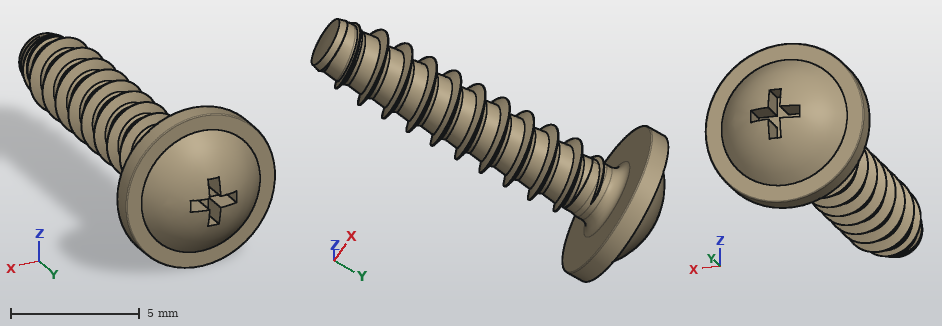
import cadquery as cq
import math


flange_radius = 3.25
flange_thickness = 0.81
flange_edge_radius = 0.04
dome_radius_at_flange = 2.58
head_height = 2.08
recess_span = 2.0
recess_slot_width = 0.48
recess_depth = 1.1

shank_length = 12.99
neck_radius = 1.17
neck_length = 0.74
neck_fillet = 0.5
core_radius = 1.12
core_start = 0.95
tip_radius = 1.02
tip_taper_length = 0.35
tip_cone_height = 0.035
tip_edge_y = tip_cone_height - shank_length

pitch = 1.12
crest_radius = 1.51
thread_root_radius = 0.85
crest_half_width = 0.02
flank_slope = 0.41
thread_phase_y = -1.24
thread_top_y = -neck_length + pitch / 4
thread_bottom_y = -shank_length + pitch / 8
fade_in_length = 1.7
fade_in_drop = 0.29
fade_out_length = 1.6
fade_out_drop = 0.47

relief_radius = 1.045
relief_foot_gap = 0.17
relief_start = 1.35
relief_low_point = 0.36
relief_outer_radius = 1.14

points_per_turn = 24


def head():
    """Flange with a spherical dome on top."""
    dome_height = head_height - flange_thickness
    sphere_radius = (dome_radius_at_flange**2 + dome_height**2) / (2 * dome_height)
    dome_mid_radius = dome_radius_at_flange / 2
    dome_mid_y = head_height - sphere_radius + math.sqrt(sphere_radius**2 - dome_mid_radius**2)
    flange = cq.Workplane("XZ").circle(flange_radius).extrude(-flange_thickness)
    flange = flange.edges().fillet(flange_edge_radius)
    dome = (
        cq.Workplane("XY")
        .lineTo(0, head_height)
        .threePointArc((dome_mid_radius, dome_mid_y), (dome_radius_at_flange, flange_thickness))
        .lineTo(dome_radius_at_flange, 0)
        .close()
        .revolve(360, (0, 0, 0), (0, 1, 0))
    )
    return flange.union(dome)


def cross_recess():
    """Two crossing slots sunk into the top of the dome."""
    middle_y = head_height - recess_depth / 2
    along_x = cq.Workplane("XY").box(recess_span, recess_depth, recess_slot_width)
    along_z = cq.Workplane("XY").box(recess_slot_width, recess_depth, recess_span)
    return along_x.union(along_z).translate((0, middle_y, 0))


def shank():
    """Neck with its fillet under the flange, straight core and shallow conical tip."""
    fillet_sag = neck_fillet * (1 - math.sqrt(0.5))
    overlap = flange_thickness / 2
    return (
        cq.Workplane("XY")
        .moveTo(0, overlap)
        .lineTo(neck_radius + neck_fillet, overlap)
        .lineTo(neck_radius + neck_fillet, 0)
        .threePointArc((neck_radius + fillet_sag, -fillet_sag), (neck_radius, -neck_fillet))
        .lineTo(neck_radius, -neck_length)
        .lineTo(core_radius, -core_start)
        .lineTo(core_radius, tip_edge_y + tip_taper_length)
        .lineTo(tip_radius, tip_edge_y)
        .lineTo(0, -shank_length)
        .close()
        .revolve(360, (0, 0, 0), (0, 1, 0))
    )


def helical_solid(section, y_start, y_end, drop):
    """Solid that winds the (radius, axial offset) section around the Y axis.

    drop(y) is the distance by which the section sinks towards the axis at height y.
    """
    count = math.ceil((y_end - y_start) / pitch * points_per_turn)

    def corner_edge(radius, offset):
        points = []
        for i in range(count + 1):
            y = y_start + (y_end - y_start) * i / count
            angle = 2 * math.pi * (y - thread_phase_y) / pitch
            r = radius - drop(y)
            points.append(cq.Vector(r * math.sin(angle), y + offset, r * math.cos(angle)))
        return cq.Edge.makeSpline(points)

    edges = [corner_edge(radius, offset) for radius, offset in section]
    next_edges = edges[1:] + edges[:1]
    faces = [cq.Face.makeRuledSurface(a, b) for a, b in zip(edges, next_edges)]
    for end in (0, 1):
        corners = [edge.positionAt(end) for edge in edges]
        faces.append(cq.Face.makeFromWires(cq.Wire.makePolygon(corners, close=True)))
    return cq.Workplane(cq.Solid.makeSolid(cq.Shell.makeShell(faces)).fix())


def band(y_top, y_bottom):
    """Cylinder wide enough to trim helical bodies to an axial range."""
    disc = cq.Workplane("XZ", origin=(0, y_top, 0)).circle(flange_radius)
    return disc.extrude(y_top - y_bottom)


def thread():
    """V-shaped ridge that sinks into the core at both ends."""
    root_half_width = crest_half_width + flank_slope * (crest_radius - thread_root_radius)
    section = [
        (thread_root_radius, -root_half_width),
        (crest_radius, -crest_half_width),
        (crest_radius, crest_half_width),
        (thread_root_radius, root_half_width),
    ]

    def drop(y):
        fade_in = max(0, 1 - (thread_top_y - y) / fade_in_length)
        fade_out = max(0, 1 - (y - thread_bottom_y) / fade_out_length)
        return fade_in_drop * fade_in + fade_out_drop * fade_out

    ridge = helical_solid(section, thread_bottom_y, thread_top_y, drop)
    return ridge.intersect(band(-neck_length, tip_edge_y))


def core_relief():
    """Helical groove, deepest just ahead of the next thread turn.

    Both flanks run on past the core surface, up to relief_outer_radius.
    """
    low_y = -pitch + relief_low_point
    overshoot = (relief_outer_radius - relief_radius) / (core_radius - relief_radius)
    steep_foot = -pitch + relief_foot_gap
    gentle_foot = -relief_foot_gap
    section = [
        (relief_outer_radius, low_y + overshoot * (steep_foot - low_y)),
        (relief_radius, low_y),
        (relief_outer_radius, low_y + overshoot * (gentle_foot - low_y)),
    ]
    groove = helical_solid(section, -shank_length, -relief_start + pitch, lambda y: 0)
    return groove.intersect(band(-relief_start, -shank_length + tip_taper_length))


screw = head().cut(cross_recess())
screw = screw.union(shank().cut(core_relief()))
result = screw.union(thread())